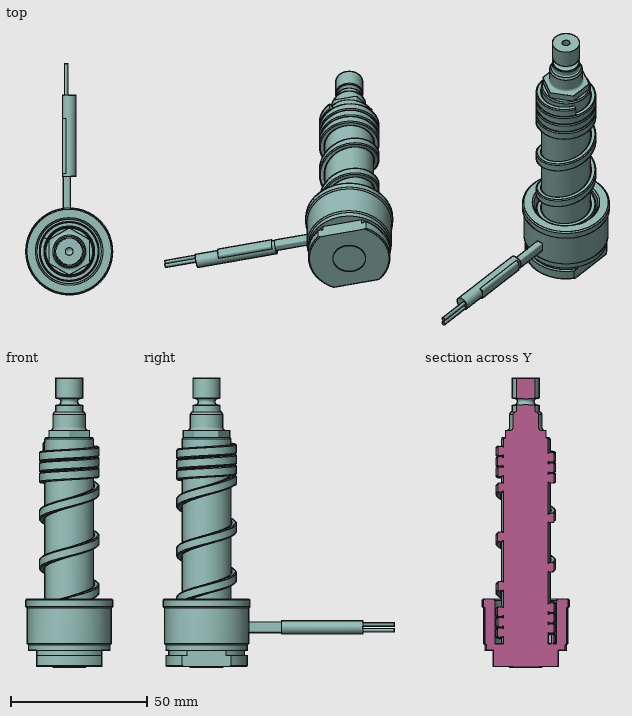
import cadquery as cq
import math

TOTAL_HEIGHT = 106.2
WIRE_END_Y = 69.0

FOOT_PAD_RADIUS = 6.0
FOOT_PAD_HEIGHT = 0.3
BASE_RADIUS = 15.0
BASE_CHAMFER = 0.4
NECK_RADIUS = 14.0
NECK_BOTTOM_Z = 4.45
NECK_TOP_Z = 6.2
FLAT_HALF_WIDTH = 12.0
BARREL_RADIUS = 15.5
BARREL_CHAMFER = 0.5
BARREL_BOTTOM_Z = 8.3
FLANGE_RADIUS = 16.0
FLANGE_BOTTOM_Z = 21.8
FLANGE_TOP_Z = 25.2
FLANGE_CHAMFER = 0.5
BORE_RADIUS = 11.8
BORE_CHAMFER = 0.6
BORE_FLOOR_Z = 8.7

TUBE_RADIUS = 9.0
TUBE_TOP_Z = 84.4
TUBE_CHAMFER_RUN = 0.4
TUBE_CHAMFER_RISE = 0.6
HEX_ACROSS_FLATS = 15.0
HEX_TOP_Z = 87.0
HEX_CORNER_RADIUS = 0.5
COLLAR_RADIUS = 6.0
COLLAR_FILLET_RADIUS = 1.1
COLLAR_CHAMFER_RUN = 0.5
COLLAR_CHAMFER_RISE = 0.9
COLLAR_TOP_Z = 93.8
TIP_RADIUS = 5.0
TIP_FILLET_RADIUS = 0.5
GROOVE_BOTTOM_Z = 96.4
GROOVE_TOP_Z = 98.7
GROOVE_EDGE_RADIUS = 4.1
GROOVE_ROOT_RADIUS = 3.1
GROOVE_EDGE_CHAMFER = 0.3
TIP_HOLE_RADIUS = 1.4
TIP_HOLE_DEPTH = 6.0
TIP_HOLE_POINT_DEPTH = 0.8

SPRING_OUTER_RADIUS = 11.0
SPRING_INNER_RADIUS = 8.95
STRIP_HEIGHT = 3.6
STRIP_CHAMFER = 0.4
CLOSED_PITCH = 3.83
OPEN_PITCH = 18.1
TOP_END_ANGLE = 151.0
TOP_END_Z = 80.87
TOP_BEND_ANGLE = 70.0
CLOSED_FULL_TURNS = 3
OPEN_TURNS = 2 + 190 / 360

CABLE_Z = 14.7
CABLE_X = -0.85
CABLE_WIDTH = 2.7
CABLE_HEIGHT = 4.0
CABLE_CORNER_RADIUS = 0.7
CABLE_START_Y = 14.0
SLEEVE_RADIUS = 2.5
SLEEVE_START_Y = 27.6
SLEEVE_END_Y = 57.4
PAD_START_Y = 28.7
PAD_END_Y = 48.9
PAD_FACE_X = -2.5
PAD_HEIGHT = 4.5
PAD_CORNER_RADIUS = 0.95
LEAD_RADIUS = 0.7
LEAD_X = -1.1
LEAD_SPACING = 2.1
LEAD_OVERLAP = 1.0


def disc(radius, z_bottom, z_top):
    return cq.Workplane("XY").workplane(offset=z_bottom).circle(radius).extrude(z_top - z_bottom)


def make_housing():
    flange = disc(FLANGE_RADIUS, FLANGE_BOTTOM_Z, FLANGE_TOP_Z).edges().chamfer(FLANGE_CHAMFER)
    barrel = disc(BARREL_RADIUS, BARREL_BOTTOM_Z, FLANGE_BOTTOM_Z).faces("<Z").chamfer(BARREL_CHAMFER)
    skirt = disc(BASE_RADIUS, NECK_TOP_Z, BARREL_BOTTOM_Z)
    foot = disc(BASE_RADIUS, FOOT_PAD_HEIGHT, NECK_BOTTOM_Z).faces("<Z").chamfer(BASE_CHAMFER)
    foot = foot.union(disc(NECK_RADIUS, NECK_BOTTOM_Z, NECK_TOP_Z))
    between_flats = cq.Workplane("XY").box(
        2 * FLAT_HALF_WIDTH, 2 * BASE_RADIUS, NECK_TOP_Z, centered=(True, True, False)
    )
    foot = foot.intersect(between_flats)
    foot_pad = disc(FOOT_PAD_RADIUS, 0, FOOT_PAD_HEIGHT)
    housing = flange.union(barrel).union(skirt).union(foot).union(foot_pad)
    bore = disc(BORE_RADIUS, BORE_FLOOR_Z, FLANGE_TOP_Z)
    bore_chamfer = cq.Workplane(
        cq.Solid.makeCone(
            BORE_RADIUS,
            BORE_RADIUS + BORE_CHAMFER,
            BORE_CHAMFER,
            pnt=cq.Vector(0, 0, FLANGE_TOP_Z - BORE_CHAMFER),
        )
    )
    return housing.cut(bore).cut(bore_chamfer)


def make_tube():
    return (
        cq.Workplane("XZ")
        .moveTo(0, BORE_FLOOR_Z)
        .lineTo(TUBE_RADIUS, BORE_FLOOR_Z)
        .lineTo(TUBE_RADIUS, TUBE_TOP_Z - TUBE_CHAMFER_RISE)
        .lineTo(TUBE_RADIUS - TUBE_CHAMFER_RUN, TUBE_TOP_Z)
        .lineTo(0, TUBE_TOP_Z)
        .close()
        .revolve(360, (0, 0), (0, 1))
    )


def make_hex():
    across_corners = HEX_ACROSS_FLATS / math.cos(math.pi / 6)
    return (
        cq.Workplane("XY")
        .workplane(offset=TUBE_TOP_Z)
        .transformed(rotate=(0, 0, 90))
        .polygon(6, across_corners)
        .extrude(HEX_TOP_Z - TUBE_TOP_Z)
        .edges("|Z")
        .fillet(HEX_CORNER_RADIUS)
    )


def make_tip():
    groove_middle_z = (GROOVE_BOTTOM_Z + GROOVE_TOP_Z) / 2
    tip = (
        cq.Workplane("XZ")
        .moveTo(0, HEX_TOP_Z)
        .lineTo(COLLAR_RADIUS + COLLAR_FILLET_RADIUS, HEX_TOP_Z)
        .radiusArc((COLLAR_RADIUS, HEX_TOP_Z + COLLAR_FILLET_RADIUS), COLLAR_FILLET_RADIUS)
        .lineTo(COLLAR_RADIUS, COLLAR_TOP_Z - COLLAR_CHAMFER_RISE)
        .lineTo(COLLAR_RADIUS - COLLAR_CHAMFER_RUN, COLLAR_TOP_Z)
        .radiusArc((TIP_RADIUS, COLLAR_TOP_Z + TIP_FILLET_RADIUS), TIP_FILLET_RADIUS)
        .lineTo(TIP_RADIUS, GROOVE_BOTTOM_Z - GROOVE_EDGE_CHAMFER)
        .lineTo(TIP_RADIUS - GROOVE_EDGE_CHAMFER, GROOVE_BOTTOM_Z)
        .lineTo(GROOVE_EDGE_RADIUS, GROOVE_BOTTOM_Z)
        .threePointArc((GROOVE_ROOT_RADIUS, groove_middle_z), (GROOVE_EDGE_RADIUS, GROOVE_TOP_Z))
        .lineTo(TIP_RADIUS - GROOVE_EDGE_CHAMFER, GROOVE_TOP_Z)
        .lineTo(TIP_RADIUS, GROOVE_TOP_Z + GROOVE_EDGE_CHAMFER)
        .lineTo(TIP_RADIUS, TOTAL_HEIGHT)
        .lineTo(0, TOTAL_HEIGHT)
        .close()
        .revolve(360, (0, 0), (0, 1))
    )
    hole_bottom_z = TOTAL_HEIGHT - TIP_HOLE_DEPTH
    hole = (
        cq.Workplane("XZ")
        .moveTo(0, hole_bottom_z - TIP_HOLE_POINT_DEPTH)
        .lineTo(TIP_HOLE_RADIUS, hole_bottom_z)
        .lineTo(TIP_HOLE_RADIUS, TOTAL_HEIGHT)
        .lineTo(0, TOTAL_HEIGHT)
        .close()
        .revolve(360, (0, 0), (0, 1))
    )
    return tip.cut(hole)


def make_coil(pitch, turns, start_angle, start_z):
    half = STRIP_HEIGHT / 2
    section = (
        cq.Workplane("XZ")
        .moveTo(SPRING_INNER_RADIUS, -half + STRIP_CHAMFER)
        .lineTo(SPRING_INNER_RADIUS + STRIP_CHAMFER, -half)
        .lineTo(SPRING_OUTER_RADIUS - STRIP_CHAMFER, -half)
        .lineTo(SPRING_OUTER_RADIUS, -half + STRIP_CHAMFER)
        .lineTo(SPRING_OUTER_RADIUS, half - STRIP_CHAMFER)
        .lineTo(SPRING_OUTER_RADIUS - STRIP_CHAMFER, half)
        .lineTo(SPRING_INNER_RADIUS + STRIP_CHAMFER, half)
        .lineTo(SPRING_INNER_RADIUS, half - STRIP_CHAMFER)
        .close()
    )
    path = cq.Wire.makeHelix(pitch, pitch * turns, SPRING_OUTER_RADIUS)
    coil = section.sweep(cq.Workplane(obj=path), isFrenet=True)
    return coil.rotate((0, 0, 0), (0, 0, 1), start_angle).translate((0, 0, start_z))


def make_spring():
    closed_turns = CLOSED_FULL_TURNS + (TOP_END_ANGLE - TOP_BEND_ANGLE) / 360
    closed_rise = CLOSED_PITCH * closed_turns
    top_bend_z = TOP_END_Z - closed_rise
    bottom_bend_z = top_bend_z - OPEN_PITCH * OPEN_TURNS
    bottom_bend_angle = TOP_BEND_ANGLE - 360 * OPEN_TURNS
    bottom_end_angle = bottom_bend_angle - 360 * closed_turns
    bottom_end_z = bottom_bend_z - closed_rise
    return [
        make_coil(CLOSED_PITCH, closed_turns, bottom_end_angle, bottom_end_z),
        make_coil(OPEN_PITCH, OPEN_TURNS, bottom_bend_angle, bottom_bend_z),
        make_coil(CLOSED_PITCH, closed_turns, TOP_BEND_ANGLE, top_bend_z),
    ]


def rod_along_y(radius, x, z, y_start, y_end):
    return cq.Workplane("XZ", origin=(x, y_start, z)).circle(radius).extrude(y_start - y_end)


def rounded_bar_along_y(x_min, x_max, y_start, y_end, height, corner_radius):
    return (
        cq.Workplane("XY")
        .box(x_max - x_min, y_end - y_start, height, centered=False)
        .edges("|Y")
        .fillet(corner_radius)
        .translate((x_min, y_start, CABLE_Z - height / 2))
    )


def make_cable():
    cable = rounded_bar_along_y(
        CABLE_X - CABLE_WIDTH / 2,
        CABLE_X + CABLE_WIDTH / 2,
        CABLE_START_Y,
        SLEEVE_START_Y,
        CABLE_HEIGHT,
        CABLE_CORNER_RADIUS,
    )
    sleeve = rod_along_y(SLEEVE_RADIUS, 0, CABLE_Z, SLEEVE_START_Y, SLEEVE_END_Y)
    pad = rounded_bar_along_y(PAD_FACE_X, 0, PAD_START_Y, PAD_END_Y, PAD_HEIGHT, PAD_CORNER_RADIUS)
    cable = cable.union(sleeve).union(pad)
    for side in (-1, 1):
        lead_z = CABLE_Z + side * LEAD_SPACING / 2
        lead = rod_along_y(LEAD_RADIUS, LEAD_X, lead_z, SLEEVE_END_Y - LEAD_OVERLAP, WIRE_END_Y)
        cable = cable.union(lead)
    return cable


plunger = make_tube()
for coil in make_spring():
    plunger = plunger.union(coil)
plunger = plunger.union(make_hex()).union(make_tip())

result = make_housing().union(make_cable()).union(plunger)